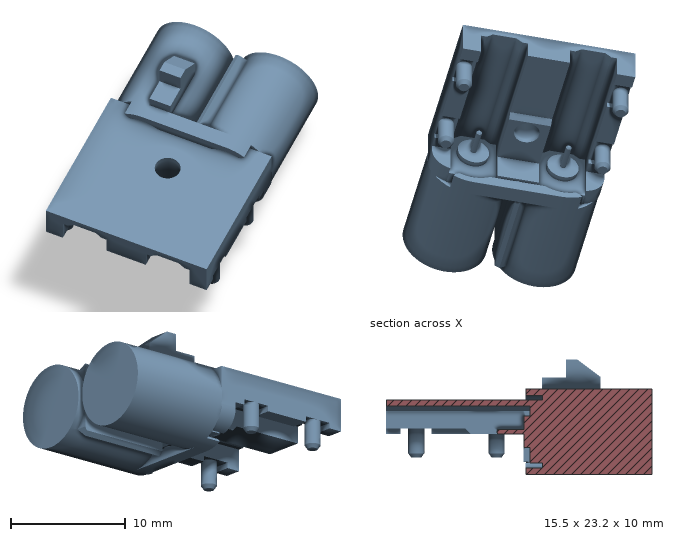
import cadquery as cq
import math


barrel_diameter = 7.5
barrel_radius = barrel_diameter / 2
barrel_offset = 4.0
barrel_start = 13.6
barrel_end = 23.2

plate_width = 15.4
plate_top = 2.8
plate_bottom = -0.2
plate_hole_diameter = 2.25
plate_hole_y = 8.65

neck_front = 12.0
neck_bottom = -2.68
neck_back_bottom = -2.75
neck_corner_radius = 2.0
neck_middle_bottom = -2.6

channel_width = 4.2
channel_end = 12.5
channel_offset = 3.97
channel_shoulder = 1.8
channel_roof = 2.2
channel_shoulder_half_width = 1.6
channel_roof_half_width = 1.05
middle_wall_bottom = 0.25
middle_wall_relief_end = 7.4

contact_diameter = 0.51
contact_end = 9.6
contact_chamfer = 0.14
insulator_diameter = 2.8
insulator_length = 0.5

pin_diameter = 1.4
pin_tip = -2.25
pin_tip_diameter = 0.9
pin_tip_height = 0.35
pin_offset = plate_width / 2 - pin_diameter / 2
pin_rows = (2.65, 9.65)
notch_width = 2.7
notch_depth = 0.5

lip_front = 12.15
lip_inner_diameter = 6.3
lip_inner_radius = lip_inner_diameter / 2
lip_inner_level = -neck_back_bottom
lip_half_width = 5.72
lip_tip_half_width = 5.17
post_diameter = 1.3

latch_left = -4.0
latch_right = -2.0
latch_end = 18.7
latch_nose_top = 4.75
latch_crest_end = 16.7
latch_crest_start = 15.7
latch_crest = 6.25
latch_step = 4.7

key_side = 0.27
key_ridge_x = 0.64
key_ridge_z = 3.33
key_end = 22.4
key_end_chamfer = 0.3
key_end_chamfer_height = 0.7


def box(x0, x1, y0, y1, z0, z1):
    return cq.Workplane("XY").box(x1 - x0, y1 - y0, z1 - z0, centered=False).translate((x0, y0, z0))


def extrude_along_y(outline, y0, y1):
    """Turn an outline sketched in XZ into a solid reaching from Y = y0 to Y = y1."""
    return outline.extrude(y1 - y0).translate((0, y1, 0))


def xz_plane():
    return cq.Workplane("XZ")


def rod(x, diameter, y0, y1):
    return extrude_along_y(xz_plane().center(x, 0).circle(diameter / 2), y0, y1)


def make_plate_and_neck():
    """Plate with its hole, and the round-cornered neck, deeper behind the channels than between them."""
    half_width = plate_width / 2
    plate = box(-half_width, half_width, 0, barrel_start, plate_bottom, plate_top)
    neck = box(-half_width, half_width, neck_front, barrel_start, neck_bottom, plate_top)
    neck = neck.faces("<Z").edges("|Y").fillet(neck_corner_radius)
    channel_inner = channel_offset - channel_width / 2
    channel_outer = channel_offset + channel_width / 2
    neck_back = box(
        -channel_outer, channel_outer, channel_end, barrel_start, neck_back_bottom, plate_bottom
    )
    bottom_trim = box(
        -channel_inner, channel_inner, neck_front, barrel_start, neck_back_bottom, neck_middle_bottom
    )
    body = plate.union(neck).union(neck_back)
    hole = cq.Workplane("XY").center(0, plate_hole_y).circle(plate_hole_diameter / 2)
    hole = hole.extrude(plate_top, both=True)
    return body.cut(bottom_trim).cut(hole)


def make_channel(side):
    """Channel open at the bottom and the plate end, with a raised roof."""
    half = channel_width / 2
    outline = (
        xz_plane()
        .center(side * channel_offset, 0)
        .moveTo(-half, neck_bottom)
        .lineTo(-half, channel_shoulder)
        .lineTo(-channel_shoulder_half_width, channel_shoulder)
        .lineTo(-channel_roof_half_width, channel_roof)
        .lineTo(channel_roof_half_width, channel_roof)
        .lineTo(channel_shoulder_half_width, channel_shoulder)
        .lineTo(half, channel_shoulder)
        .lineTo(half, neck_bottom)
        .close()
    )
    return extrude_along_y(outline, 0, channel_end)


def make_middle_wall_relief():
    """Raises the wall between the channels, ending in a 45 degree ramp."""
    rise = middle_wall_bottom - plate_bottom
    return (
        cq.Workplane("YZ")
        .moveTo(0, plate_bottom)
        .lineTo(middle_wall_relief_end, plate_bottom)
        .lineTo(middle_wall_relief_end - rise, middle_wall_bottom)
        .lineTo(0, middle_wall_bottom)
        .close()
        .extrude(channel_offset, both=True)
    )


def make_contact(side):
    """Thin contact pin standing out of a round insulator."""
    x = side * barrel_offset
    pin = rod(x, contact_diameter, contact_end, channel_end).faces("<Y").chamfer(contact_chamfer)
    insulator = rod(x, insulator_diameter, channel_end - insulator_length, channel_end)
    return insulator.union(pin)


def make_notch(side, y):
    """Notch through the plate's outer wall around one locating pin."""
    inner = side * (channel_offset + channel_width / 2 - pin_diameter)
    outer = side * plate_width / 2
    return box(
        min(inner, outer), max(inner, outer),
        y - notch_width / 2, y + notch_width / 2,
        plate_bottom, plate_bottom + notch_depth,
    )


def make_locating_pin(side, y):
    radius = pin_diameter / 2
    profile = (
        xz_plane()
        .moveTo(0, pin_tip)
        .lineTo(pin_tip_diameter / 2, pin_tip)
        .lineTo(radius, pin_tip + pin_tip_height)
        .lineTo(radius, channel_shoulder)
        .lineTo(0, channel_shoulder)
        .close()
    )
    return profile.revolve(360, (0, 0, 0), (0, 1, 0)).translate((side * pin_offset, y, 0))


def make_lip_gap():
    """Right half of the gap between the lips, hollowed around the barrel axis and open at the side."""

    def height_on_circle(x, radius):
        return math.sqrt(radius**2 - (x - barrel_offset) ** 2)

    root = barrel_offset - math.sqrt(lip_inner_radius**2 - lip_inner_level**2)
    tip_inner_z = height_on_circle(lip_tip_half_width, lip_inner_radius)
    tip_outer_z = height_on_circle(lip_half_width, barrel_radius)
    tip_radius = math.hypot(lip_half_width - lip_tip_half_width, tip_outer_z - tip_inner_z)
    side = barrel_offset + barrel_diameter
    outline = (
        xz_plane()
        .moveTo(0, lip_inner_level)
        .lineTo(root, lip_inner_level)
        .threePointArc((barrel_offset, lip_inner_radius), (lip_tip_half_width, tip_inner_z))
        .radiusArc((lip_half_width, tip_outer_z), -tip_radius)
        .lineTo(side, tip_outer_z)
        .lineTo(side, -tip_outer_z)
        .lineTo(lip_half_width, -tip_outer_z)
        .radiusArc((lip_tip_half_width, -tip_inner_z), -tip_radius)
        .threePointArc((barrel_offset, -lip_inner_radius), (root, -lip_inner_level))
        .lineTo(0, -lip_inner_level)
        .close()
    )
    return extrude_along_y(outline, lip_front, barrel_start)


def make_barrels_and_lips():
    """Two barrels whose upper and lower edges run on over the neck as joined lips."""
    barrels = box(
        -barrel_offset, barrel_offset, lip_front, barrel_start, -barrel_radius, barrel_radius
    )
    for side in (-1, 1):
        barrels = barrels.union(rod(side * barrel_offset, barrel_diameter, lip_front, barrel_end))
    gap = make_lip_gap()
    return barrels.cut(gap).cut(gap.mirror("YZ"))


def make_post():
    """Round post between the neck and the lower lip."""
    y = (lip_front + barrel_start) / 2
    post = cq.Workplane("XY").center(0, y).circle(post_diameter / 2)
    depth_into_lip = (lip_inner_level + barrel_radius) / 2
    return post.extrude(-depth_into_lip)


def make_latch():
    """Latch with a low step, a crest and a sloping nose."""
    return (
        cq.Workplane("YZ")
        .moveTo(barrel_start, 0)
        .lineTo(barrel_start, latch_step)
        .lineTo(latch_crest_start, latch_step)
        .lineTo(latch_crest_start, latch_crest)
        .lineTo(latch_crest_end, latch_crest)
        .lineTo(latch_end, latch_nose_top)
        .lineTo(latch_end, 0)
        .close()
        .extrude(latch_right - latch_left)
        .translate((latch_left, 0, 0))
    )


def make_key():
    """Key with a ridged top and bottom whose end is chamfered at both ridges."""
    side_z = key_ridge_z - (key_ridge_x - key_side)
    section = (
        xz_plane()
        .moveTo(key_side, -side_z)
        .lineTo(key_side, side_z)
        .lineTo(key_ridge_x, key_ridge_z)
        .lineTo(key_ridge_x + key_ridge_z, 0)
        .lineTo(key_ridge_x, -key_ridge_z)
        .close()
    )
    chamfer_start = key_end - key_end_chamfer
    chamfer_z = key_ridge_z - key_end_chamfer_height
    end_limits = (
        cq.Workplane("YZ")
        .moveTo(barrel_start, key_ridge_z)
        .lineTo(chamfer_start, key_ridge_z)
        .lineTo(key_end, chamfer_z)
        .lineTo(key_end, -chamfer_z)
        .lineTo(chamfer_start, -key_ridge_z)
        .lineTo(barrel_start, -key_ridge_z)
        .close()
        .extrude(barrel_offset)
    )
    return extrude_along_y(section, barrel_start, key_end).intersect(end_limits)


result = make_plate_and_neck().cut(make_middle_wall_relief())
for side in (-1, 1):
    result = result.cut(make_channel(side))
    for row in pin_rows:
        result = result.cut(make_notch(side, row)).union(make_locating_pin(side, row))
    result = result.union(make_contact(side))

for feature in (make_barrels_and_lips(), make_latch(), make_key(), make_post()):
    result = result.union(feature)